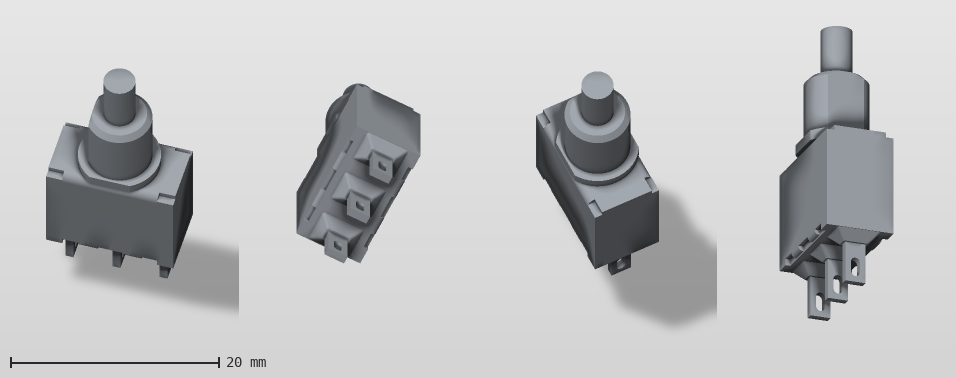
import cadquery as cq

body_length = 12.7
body_width = 6.86
body_height = 10.4

shoulder_radius = 0.77
shoulder_length = 9.5
end_step_depth = 0.5

notch_depth = 0.5
notch_height = 0.65
rib_radius = 0.41
rib_length = 1.93
rib_offset = 2.18
rib_clearance = 0.17
rib_height = notch_height - rib_clearance

flange_diameter = 8.0
flange_flats = 6.9
flange_height = 1.0
bushing_diameter = 6.35
bushing_height = 6.4
bushing_chamfer = 0.52
bushing_flat_offset = 2.58
plunger_diameter = 3.1
plunger_height = 5.1

terminal_pitch = 4.7
terminal_thickness = 0.78
terminal_width = 2.08
terminal_length = 5.02
collar_height = 1.0
collar_top_length = 3.14
collar_top_width = 4.4
collar_taper_run = 0.93
collar_corner_radius = 0.3
eyelet_width = 0.9
eyelet_length = 1.9
eyelet_centre_height = 1.55
terminal_embed = 0.2

sides = (-1, 1)


def block(length, width, height, x=0, y=0, z=0):
    """Box centred on x and y, standing on height z."""
    return cq.Workplane("XY").box(length, width, height, centered=(True, True, False)).translate((x, y, z))


def make_housing():
    housing = block(body_length, body_width, body_height)
    half_width = body_width / 2
    end_length = (body_length - shoulder_length) / 2
    end_x = (body_length - end_length) / 2
    step_floor = body_height - end_step_depth
    shoulder_y = half_width - shoulder_radius / 2
    for side in sides:
        axis_z = body_height - shoulder_radius
        corner = block(shoulder_length, shoulder_radius, shoulder_radius, y=side * shoulder_y, z=axis_z)
        roller = (
            cq.Workplane("YZ")
            .center(side * (half_width - shoulder_radius), axis_z)
            .circle(shoulder_radius)
            .extrude(shoulder_length / 2, both=True)
        )
        housing = housing.cut(corner.cut(roller))
        for end in sides:
            step = block(end_length, shoulder_radius, end_step_depth, end * end_x, side * shoulder_y, step_floor)
            housing = housing.cut(step)
        housing = cut_lower_notch(housing, side)
    return housing


def cut_lower_notch(housing, side):
    notch_y = (body_width - notch_depth) / 2
    notch = block(shoulder_length, notch_depth, notch_height, y=side * notch_y)
    housing = housing.cut(notch)
    for end in sides:
        rib = block(rib_length, notch_depth, rib_height, end * rib_offset, side * notch_y, rib_clearance)
        outer_face = ">Y" if side > 0 else "<Y"
        rib = rib.faces(outer_face).edges("<Z").fillet(rib_radius)
        housing = housing.union(rib)
    return housing


def make_actuator():
    """Flange, flatted bushing and plunger stacked on the housing."""
    flange = cq.Workplane("XY").circle(flange_diameter / 2).extrude(flange_height)
    flange = flange.intersect(block(flange_diameter, flange_flats, flange_height))
    bushing = (
        cq.Workplane("XY")
        .circle(bushing_diameter / 2)
        .extrude(bushing_height)
        .faces(">Z")
        .chamfer(bushing_chamfer)
    )
    flat_cutter = block(
        bushing_diameter, bushing_diameter, bushing_height, x=-bushing_flat_offset - bushing_diameter / 2
    )
    bushing = bushing.cut(flat_cutter).translate((0, 0, flange_height))
    plunger = cq.Workplane("XY").circle(plunger_diameter / 2).extrude(
        flange_height + bushing_height + plunger_height
    )
    return flange.union(bushing).union(plunger).translate((0, 0, body_height))


def make_terminal(x):
    collar = (
        cq.Workplane("XY")
        .rect(collar_top_length, collar_top_width)
        .workplane(offset=-collar_height)
        .rect(collar_top_length - 2 * collar_taper_run, collar_top_width - 2 * collar_taper_run)
        .loft(combine=True)
        .edges("not (#Z or |X or |Y)")
        .fillet(collar_corner_radius)
    )
    blade = block(terminal_thickness, terminal_width, terminal_length + terminal_embed, z=-terminal_length)
    eyelet = (
        cq.Workplane("YZ")
        .center(0, eyelet_centre_height - terminal_length)
        .slot2D(eyelet_length, eyelet_width, 90)
        .extrude(terminal_thickness, both=True)
    )
    return collar.union(blade).cut(eyelet).translate((x, 0, 0))


result = make_housing().union(make_actuator())
for position in (-1, 0, 1):
    result = result.union(make_terminal(position * terminal_pitch))